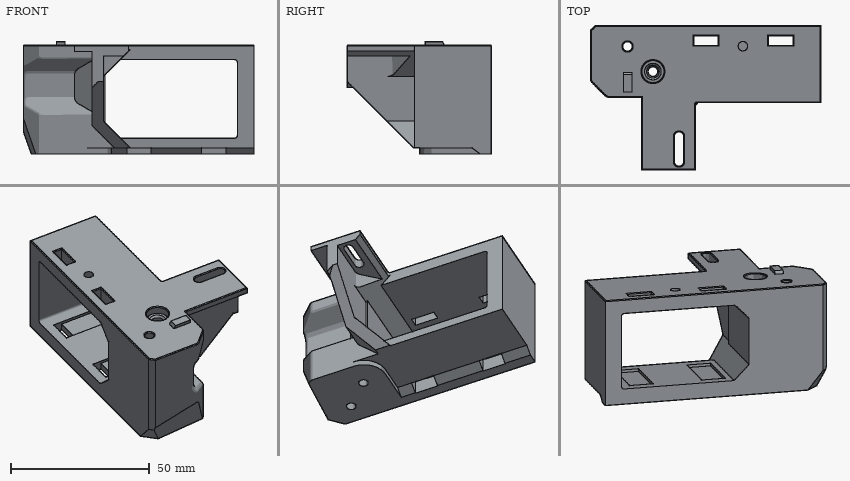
import cadquery as cq
import math

length = 83.1
back_y = 52.0
top_z = 39.3
edge_break = 0.3

grip_front_y = 26.2
frame_front_y = 24.3
front_corner = 5.9
back_corner = 1.75
corner_radius = 2.0

recess_depth = 7.2
recess_low_z = 14.8
recess_high_z = 34.15
recess_end_x = 18.4
recess_slope = math.radians(30)
recess_inner_radius = 3.0
recess_lip_radius = 1.5

web_x = 24.8
web_thickness = 4.1
plate_left_x = 18.4
plate_right_x = 37.9
plate_left_thickness = 2.3
plate_right_thickness = 4.1
plate_edge = 2.25
arm_tip_z = 26.2
web_bend_z = 10.2
arm_corner_radius = 0.6

gusset_reach = 8.1
gusset_radius = 3.4

window_left_x = 29.4
window_right_x = 77.05
window_low_z = 5.7
window_high_z = 34.0
window_radius = 1.0

slot_centers_x = (41.6, 68.6)
slot_length = 8.8
slot_front_y = 45.0
slot_back_y = 48.3
channel_front_y = 28.2
channel_depth = 1.0

relief_height = 2.25
relief_left_x = 31.7
relief_corner_radius = 8.65
relief_back_y = 45.0
relief_slope_run = 3.1

side_bevel_z = 8.15
side_bevel_normal = (-3.11, -0.256, -1)
corner_bevel_z = 7.0
corner_bevel_run = 4.1

small_hole_d = 3.4
pin_hole_xy = (13.4, 44.55)
blind_hole_xy = (54.9, 44.6)
blind_hole_depth = 3.3
screw_xy = (22.5, 35.5)
screw_counterbore_d = 8.0
screw_counterbore_depth = 3.0
screw_cone_d = 6.0
screw_step_d = 4.6
screw_step_depth = 2.0
arm_slot_x = 31.9
arm_slot_width = 3.4
arm_slot_y = (1.4, 13.8)

key_x = (11.9, 15.05)
key_y = (28.1, 35.1)
key_height = 1.2
key_ramp = 0.7

overlap = 0.8
web_right_x = web_x + web_thickness
outer_foot_line = web_x + web_bend_z
foot_line = outer_foot_line + web_thickness * math.sqrt(2)
gusset_line = plate_right_x - (top_z - plate_edge)


def prism_y(points, y0, y1):
    """Extrude an XZ outline between two Y positions."""
    return cq.Workplane("XZ", origin=(0, y0, 0)).polyline(points).close().extrude(y0 - y1)


def prism_x(points, x0, x1):
    """Extrude a YZ outline between two X positions."""
    return cq.Workplane("YZ", origin=(x0, 0, 0)).polyline(points).close().extrude(x1 - x0)


def block(x, y, z):
    """Box given by its (low, high) limits along each axis."""
    size = (x[1] - x[0], y[1] - y[0], z[1] - z[0])
    return cq.Workplane("XY").box(*size, centered=False).translate((x[0], y[0], z[0]))


def half_space(point, normal):
    """Large box lying on the side of a plane to which the normal points."""
    plane = cq.Plane(origin=point, normal=normal)
    return cq.Workplane(plane).rect(4 * length, 4 * length).extrude(length)


def nearest(x, y, z):
    return cq.selectors.NearestToPointSelector((x, y, z))


def make_grip():
    outline = [
        (0, grip_front_y + front_corner),
        (front_corner, grip_front_y),
        (outer_foot_line, grip_front_y),
        (outer_foot_line, back_y),
        (back_corner, back_y),
        (0, back_y - back_corner),
    ]
    grip = cq.Workplane("XY").polyline(outline).close().extrude(top_z)
    for x, y in outline[:2]:
        grip = grip.edges(nearest(x, y, top_z / 2)).fillet(corner_radius)
    return grip


def make_recess():
    deep_y = grip_front_y + recess_depth
    rise = recess_depth * math.tan(recess_slope)
    reach = 8.3
    outline = [
        (grip_front_y - reach, recess_low_z - reach * math.tan(recess_slope)),
        (deep_y, recess_low_z + rise),
        (deep_y, recess_high_z - rise),
        (grip_front_y - reach, recess_high_z + reach * math.tan(recess_slope)),
    ]
    recess = prism_x(outline, -reach, web_right_x + reach)
    recess = recess.edges("|X and >Y").fillet(recess_inner_radius)
    return recess.cut(half_space((recess_end_x, deep_y, 0), (1, 1, 0)))


def make_recessed_grip():
    """Grip with the recess cut and the mouth of the recess rounded."""
    plain_grip = make_grip()
    recess = make_recess()
    grip = plain_grip.cut(recess)
    grip_surface = plain_grip.val().Shells()[0]
    recess_surface = recess.val().Shells()[0]
    tolerance = 0.0001
    lip = []
    for edge in grip.edges().vals():
        middle = edge.positionAt(0.5)
        point = cq.Vertex.makeVertex(*middle.toTuple())
        on_grip = point.distance(grip_surface) < tolerance
        on_recess = point.distance(recess_surface) < tolerance
        if on_grip and on_recess and middle.x < web_x:
            lip.append(edge)
    return grip.newObject(lip).fillet(recess_lip_radius)


def make_side_bevel():
    return half_space((0, back_y - back_corner, side_bevel_z), side_bevel_normal)


def make_corner_bevel():
    normal = (-corner_bevel_z, corner_bevel_z, -corner_bevel_run * math.sqrt(2))
    return half_space((0, back_y - back_corner, corner_bevel_z), normal)


def make_frame():
    outline = [
        (outer_foot_line, 0),
        (length, 0),
        (length, top_z),
        (web_right_x, top_z),
        (web_right_x, outer_foot_line - web_right_x),
    ]
    return prism_y(outline, frame_front_y, back_y)


def make_arm():
    plate_bottom_z = top_z - plate_right_thickness
    outline = [
        (plate_left_x, top_z),
        (plate_right_x, top_z),
        (plate_right_x, top_z - plate_edge),
        (plate_bottom_z + gusset_line, plate_bottom_z),
        (web_right_x, plate_bottom_z),
        (web_right_x, foot_line - web_right_x),
        (foot_line - relief_height, relief_height),
        (outer_foot_line - relief_height, relief_height),
        (web_x, web_bend_z),
        (web_x, top_z - plate_left_thickness),
        (plate_left_x, top_z - plate_left_thickness),
    ]
    arm = prism_y(outline, 0, grip_front_y + 2 * overlap)
    return arm.cut(half_space((0, 0, arm_tip_z), (0, -1, -1)))


def make_gusset():
    front_y = frame_front_y - gusset_reach
    outline = [
        (web_x, 0),
        (web_right_x, 0),
        (web_right_x, front_y),
        (plate_right_x, frame_front_y),
        (plate_right_x, frame_front_y + overlap),
        (web_x, frame_front_y + overlap),
    ]
    gusset = cq.Workplane("XY").polyline(outline).close().extrude(top_z - overlap)
    gusset = gusset.edges(nearest(web_right_x, front_y, top_z / 2)).fillet(gusset_radius)
    return gusset.cut(half_space((gusset_line, 0, 0), (1, 0, -1)))


def make_window():
    outline = [
        (window_left_x, foot_line - window_left_x),
        (foot_line - window_low_z, window_low_z),
        (window_right_x, window_low_z),
        (window_right_x, window_high_z),
        (window_high_z + gusset_line, window_high_z),
        (window_left_x, window_left_x - gusset_line),
    ]
    window = prism_y(outline, frame_front_y - overlap, back_y + overlap)
    return window.edges("|Y and >X").fillet(window_radius)


def make_relief():
    """Shallow cut under the frame, going round the corner of the grip's foot."""
    slope_end_y = relief_back_y + relief_slope_run
    outline = [
        (-overlap, -overlap),
        (-overlap, relief_height),
        (relief_back_y, relief_height),
        (slope_end_y, 0),
        (slope_end_y, -overlap),
    ]
    relief = prism_x(outline, 0, length + overlap)
    foot = block((-overlap, relief_left_x), (grip_front_y, back_y), (-2 * overlap, top_z))
    foot = foot.edges("|Z and >X and <Y").fillet(relief_corner_radius)
    return relief.cut(foot)


def round_hole(center, diameter, depth):
    return cq.Workplane("XY", origin=(*center, top_z)).circle(diameter / 2).extrude(-depth)


def cone(center, z, top_d, bottom_d):
    """45 degree cone narrowing downwards from height z."""
    bottom_z = z - (top_d - bottom_d) / 2
    profile = [(0, z), (top_d / 2, z), (bottom_d / 2, bottom_z), (0, bottom_z)]
    body = cq.Workplane("XZ").polyline(profile).close().revolve(360, (0, 0), (0, 1))
    return body.translate((*center, 0))


def make_screw_hole():
    seat_z = top_z - screw_counterbore_depth
    step_z = seat_z - screw_step_depth
    hole = round_hole(screw_xy, small_hole_d, top_z)
    hole = hole.union(round_hole(screw_xy, screw_step_d, top_z - step_z))
    hole = hole.union(round_hole(screw_xy, screw_counterbore_d, screw_counterbore_depth))
    hole = hole.union(cone(screw_xy, seat_z, screw_cone_d, screw_step_d))
    return hole.union(cone(screw_xy, step_z, screw_step_d, small_hole_d))


def make_strap_slot(x):
    """Slot through the frame, with a shallow channel in the window floor."""
    x_limits = (x - slot_length / 2, x + slot_length / 2)
    slot = block(x_limits, (slot_front_y, slot_back_y), (0, top_z))
    channel_z = (window_low_z - channel_depth, window_high_z)
    return slot.union(block(x_limits, (channel_front_y, slot_back_y), channel_z))


def make_arm_slot():
    y0, y1 = arm_slot_y
    top = cq.Workplane("XY", origin=(arm_slot_x, (y0 + y1) / 2, top_z))
    return top.slot2D(y1 - y0, arm_slot_width, 90).extrude(-plate_right_thickness)


def make_key():
    y0, y1 = key_y
    key_top_z = top_z + key_height
    root_z = top_z - overlap
    outline = [(y0, root_z), (y0, key_top_z), (y1 - key_ramp, key_top_z), (y1, top_z), (y1, root_z)]
    return prism_x(outline, *key_x)


result = make_recessed_grip()
result = result.cut(make_side_bevel()).cut(make_corner_bevel())
result = result.union(make_frame()).union(make_arm()).union(make_gusset())
result = result.cut(make_window()).cut(make_relief())
inner_corner = nearest(plate_right_x, frame_front_y, top_z - plate_edge / 2)
result = result.edges(inner_corner).fillet(arm_corner_radius)

for slot_x in slot_centers_x:
    result = result.cut(make_strap_slot(slot_x))
result = result.cut(make_screw_hole())
result = result.cut(round_hole(pin_hole_xy, small_hole_d, top_z))
result = result.cut(make_arm_slot())
result = result.faces(">Z").edges().chamfer(edge_break)

result = result.cut(round_hole(blind_hole_xy, small_hole_d, blind_hole_depth))
result = result.union(make_key())